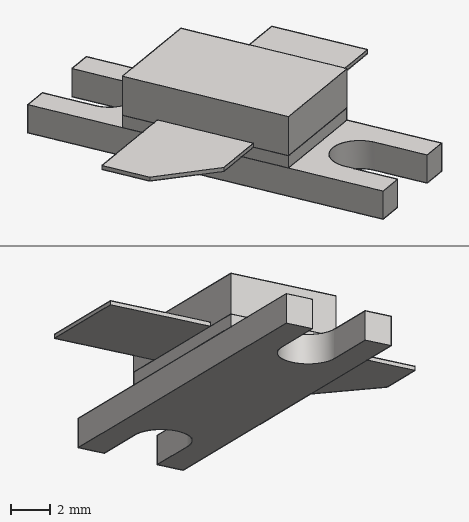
import cadquery as cq

flange_length = 20.5
flange_width = 6.21
flange_thickness = 1.6
slot_width = 3.12
slot_depth = 4.6

lid_length = 9.6
total_height = 4.5
insulator_height = 0.7
insulator_inset = 0.01

lead_span = 18.0
lead_width = 5.54
lead_thickness = 0.23
lead_chamfer = lead_width / 2

insulator_top = flange_thickness + insulator_height
lid_height = total_height - insulator_top


def block(length, width, height, bottom):
    """Box centred on the Z axis, standing on the level `bottom`."""
    return (
        cq.Workplane("XY")
        .workplane(offset=bottom)
        .box(length, width, height, centered=(True, True, False))
    )


def end_slot(side):
    """Round-ended slot open to the flange end on the given side (-1 or +1)."""
    return (
        cq.Workplane("XY")
        .center(side * flange_length / 2, 0)
        .slot2D(2 * slot_depth, slot_width)
        .extrude(flange_thickness)
    )


def make_flange():
    flange = block(flange_length, flange_width, flange_thickness, 0)
    for side in (-1, 1):
        flange = flange.cut(end_slot(side))
    return flange


def make_leads():
    """Both leads as one strip through the package, with one corner cut off at the -Y end."""
    strip = block(lead_width, lead_span, lead_thickness, insulator_top)
    return strip.edges("|Z and >X and <Y").chamfer(lead_chamfer)


insulator = block(
    lid_length - 2 * insulator_inset,
    flange_width - 2 * insulator_inset,
    insulator_height,
    flange_thickness,
)
lid = block(lid_length, flange_width, lid_height, insulator_top)

result = make_flange().union(insulator).union(lid).union(make_leads())